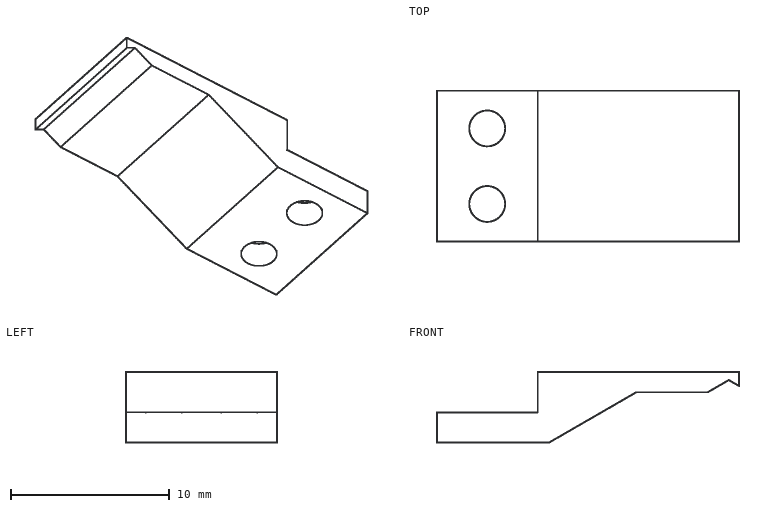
import cadquery as cq
import math

length = 19.05
width = 9.52
height = 4.45

tab_length = 6.35
tab_thickness = 1.9
hole_diameter = 2.25
hole_spacing = width / 2

base_length = 7.09
arm_thickness = 1.3
notch_start = 17.07
notch_peak = 18.4
slope = math.tan(math.radians(30))

arm_bottom = height - arm_thickness
ramp_end = base_length + arm_bottom / slope
notch_top = arm_bottom + (notch_peak - notch_start) * slope
tip_bottom = notch_top - (length - notch_peak) * slope

profile = [
    (0, 0),
    (base_length, 0),
    (ramp_end, arm_bottom),
    (notch_start, arm_bottom),
    (notch_peak, notch_top),
    (length, tip_bottom),
    (length, height),
    (tab_length, height),
    (tab_length, tab_thickness),
    (0, tab_thickness),
]
body = cq.Workplane("XZ").polyline(profile).close().extrude(width / 2, both=True)

holes = (
    cq.Workplane("XY")
    .center(tab_length / 2, 0)
    .rarray(0.2, hole_spacing, 1, 2)
    .circle(hole_diameter / 2)
    .extrude(tab_thickness)
)

result = body.cut(holes)